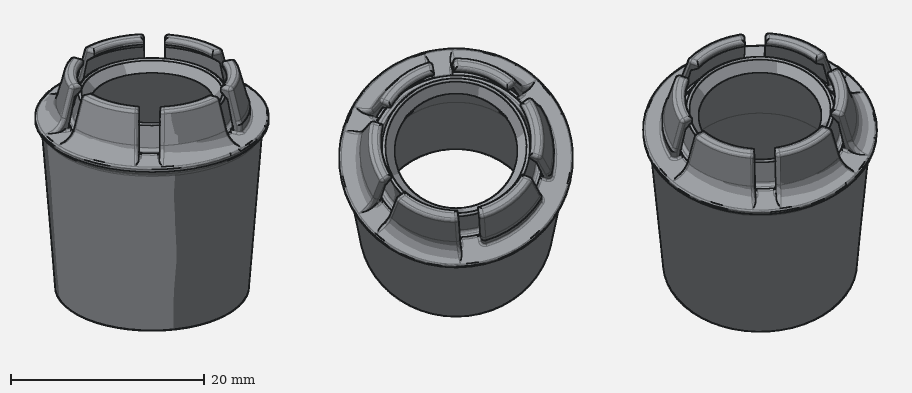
import cadquery as cq
import math

TOTAL_HEIGHT = 25.0
FLANGE_TOP = 20.0
FLANGE_RADIUS = 12.1
FLANGE_EDGE_ROUND = 0.2
FLANGE_RIM_BOTTOM = 19.5
FLANGE_CHAMFER = 0.42
NECK_RADIUS = 11.45
NECK_HEIGHT = 18.7
BOTTOM_RADIUS = 10.05
BOTTOM_CHAMFER = 0.15

RIM_TOP = 22.85
RIM_SHOULDER = 22.65
FUNNEL_RADIUS = 7.3
THROAT_RADIUS = 6.35
THROAT_HEIGHT = 21.7
OUTLET_RADIUS = 8.6
OUTLET_HEIGHT = 13.5

GROOVE_STEP = 0.1
GROOVE_FLOOR = FLANGE_TOP + GROOVE_STEP
COLLAR_TOP_RADIUS = 7.65
COLLAR_ANGLE = 15.0
GROOVE_FILLET = 0.4
GROOVE_FLOOR_OUTER = 8.97

TOOTH_COUNT = 6
TOOTH_PITCH = 360.0 / TOOTH_COUNT
SLOT_WIDTH = 2.14
TOOTH_OUTER_ANGLE = 15.0
TOOTH_TOP_RADIUS = 9.02
TOOTH_FOOT_RADIUS = 2.0
TOOTH_NOSE_RADIUS = 7.75
TOOTH_NOSE_BOTTOM = 24.3
TOOTH_NECK_INNER = 8.6
TOOTH_NECK_HEIGHT = 23.6
TOOTH_ROOT_INNER = 9.35
TOOTH_ROUND = 0.4
BLANK_MARGIN = 1.0

PAD_RADIUS = 10.15
PAD_CORNER = 0.4
PAD_HEIGHT = 0.6
FOOT_FILLET = 0.25
TRIMMED_TEETH = (60.0, 120.0)


def polar(radius, angle):
    return radius * math.cos(math.radians(angle)), radius * math.sin(math.radians(angle))


def revolve(profile):
    return profile.close().revolve(360, (0, 0, 0), (0, 1, 0))


def disk(radius, bottom, height):
    return cq.Workplane("XY", origin=(0, 0, bottom)).circle(radius).extrude(height)


def make_sleeve():
    """Tapered sleeve with flange, inner collar and bore."""
    collar_root = COLLAR_TOP_RADIUS + (RIM_SHOULDER - GROOVE_FLOOR) * math.tan(math.radians(COLLAR_ANGLE))
    step_run = math.sqrt(FOOT_FILLET**2 - (FOOT_FILLET - GROOVE_STEP) ** 2)
    profile = (
        cq.Workplane("XZ")
        .moveTo(OUTLET_RADIUS, 0)
        .lineTo(BOTTOM_RADIUS - BOTTOM_CHAMFER, 0)
        .lineTo(BOTTOM_RADIUS, BOTTOM_CHAMFER)
        .lineTo(NECK_RADIUS, NECK_HEIGHT)
        .tangentArcPoint((FLANGE_RADIUS - FLANGE_CHAMFER, FLANGE_RIM_BOTTOM - FLANGE_CHAMFER), relative=False)
        .lineTo(FLANGE_RADIUS, FLANGE_RIM_BOTTOM)
        .lineTo(FLANGE_RADIUS, FLANGE_TOP - FLANGE_EDGE_ROUND)
        .radiusArc((FLANGE_RADIUS - FLANGE_EDGE_ROUND, FLANGE_TOP), -FLANGE_EDGE_ROUND)
        .lineTo(GROOVE_FLOOR_OUTER + step_run, FLANGE_TOP)
        .radiusArc((GROOVE_FLOOR_OUTER, GROOVE_FLOOR), FOOT_FILLET)
        .lineTo(collar_root, GROOVE_FLOOR)
        .lineTo(COLLAR_TOP_RADIUS, RIM_SHOULDER)
        .threePointArc(((COLLAR_TOP_RADIUS + FUNNEL_RADIUS) / 2, RIM_TOP), (FUNNEL_RADIUS, RIM_SHOULDER))
        .lineTo(THROAT_RADIUS, THROAT_HEIGHT)
        .lineTo(OUTLET_RADIUS, OUTLET_HEIGHT)
    )
    sleeve = revolve(profile)
    groove_corner = cq.selectors.NearestToPointSelector((-collar_root, 0, GROOVE_FLOOR))
    return sleeve.edges(groove_corner).fillet(GROOVE_FILLET)


def tooth_wedge(bottom, height):
    """Prism between two neighbouring slots, centred on +X."""
    half = TOOTH_PITCH / 2
    apex = SLOT_WIDTH / 2 / math.sin(math.radians(half))
    dx, dy = polar(2 * FLANGE_RADIUS, half)
    points = [(apex, 0), (apex + dx, -dy), (apex + dx, dy)]
    return cq.Workplane("XY", origin=(0, 0, bottom)).polyline(points).close().extrude(height)


def make_tooth():
    """Leaning tooth with an inward nose, a flared foot and rounded edges, centred on +X."""
    slope = math.radians(TOOTH_OUTER_ANGLE)
    blank_bottom = FLANGE_TOP - BLANK_MARGIN
    blank_radius = FLANGE_RADIUS + BLANK_MARGIN
    foot_start_height = FLANGE_TOP + TOOTH_FOOT_RADIUS * (1 - math.sin(slope))
    foot_start_radius = TOOTH_TOP_RADIUS + (TOTAL_HEIGHT - foot_start_height) * math.tan(slope)
    foot_end_radius = foot_start_radius + TOOTH_FOOT_RADIUS * math.cos(slope)
    profile = (
        cq.Workplane("XZ")
        .moveTo(TOOTH_NOSE_RADIUS, TOTAL_HEIGHT)
        .lineTo(TOOTH_TOP_RADIUS, TOTAL_HEIGHT)
        .lineTo(foot_start_radius, foot_start_height)
        .radiusArc((foot_end_radius, FLANGE_TOP), -TOOTH_FOOT_RADIUS)
        .lineTo(blank_radius, FLANGE_TOP)
        .lineTo(blank_radius, blank_bottom)
        .lineTo(TOOTH_ROOT_INNER, blank_bottom)
        .lineTo(TOOTH_ROOT_INNER, FLANGE_TOP)
        .lineTo(TOOTH_NECK_INNER, TOOTH_NECK_HEIGHT)
        .lineTo(TOOTH_NOSE_RADIUS, TOOTH_NOSE_BOTTOM)
    )
    tooth = revolve(profile).intersect(tooth_wedge(blank_bottom, TOTAL_HEIGHT))
    side_middle = polar((TOOTH_TOP_RADIUS + foot_start_radius) / 2, TOOTH_PITCH / 2)
    middle_height = (TOTAL_HEIGHT + foot_start_height) / 2
    left_edge = cq.selectors.NearestToPointSelector((side_middle[0], side_middle[1], middle_height))
    right_edge = cq.selectors.NearestToPointSelector((side_middle[0], -side_middle[1], middle_height))
    top_edges = cq.selectors.StringSyntaxSelector(">Z")
    tooth = tooth.edges(top_edges + left_edge + right_edge).fillet(TOOTH_ROUND)
    return tooth.intersect(disk(foot_end_radius, FLANGE_TOP, TOTAL_HEIGHT - FLANGE_TOP))


def make_pad(height):
    """Plan of a tooth base, standing on the flange: a sector with rounded outer corners."""
    sector = disk(PAD_RADIUS, FLANGE_TOP, height).intersect(tooth_wedge(FLANGE_TOP, height))
    outer_edges = sector.edges("|Z").edges(">Y or <Y")
    return outer_edges.fillet(PAD_CORNER)


def make_foot():
    """Base of a tooth with a concave fillet down to the flange."""
    plate = disk(FLANGE_RADIUS, FLANGE_TOP - BLANK_MARGIN, BLANK_MARGIN)
    foot = plate.union(make_pad(PAD_HEIGHT))
    outer_arc = cq.selectors.NearestToPointSelector((PAD_RADIUS, 0, FLANGE_TOP))
    foot = foot.edges(outer_arc).fillet(FOOT_FILLET)
    ring = disk(FLANGE_RADIUS, FLANGE_TOP, FOOT_FILLET).cut(disk(GROOVE_FLOOR_OUTER, FLANGE_TOP, FOOT_FILLET))
    return foot.intersect(ring)


result = make_sleeve()
tooth = make_tooth()
foot = make_foot()
trimmed_tooth = tooth.intersect(make_pad(TOTAL_HEIGHT - FLANGE_TOP))
for index in range(TOOTH_COUNT):
    angle = index * TOOTH_PITCH
    piece = trimmed_tooth if angle in TRIMMED_TEETH else tooth
    for body in (piece, foot):
        result = result.union(body.rotate((0, 0, 0), (0, 0, 1), angle))